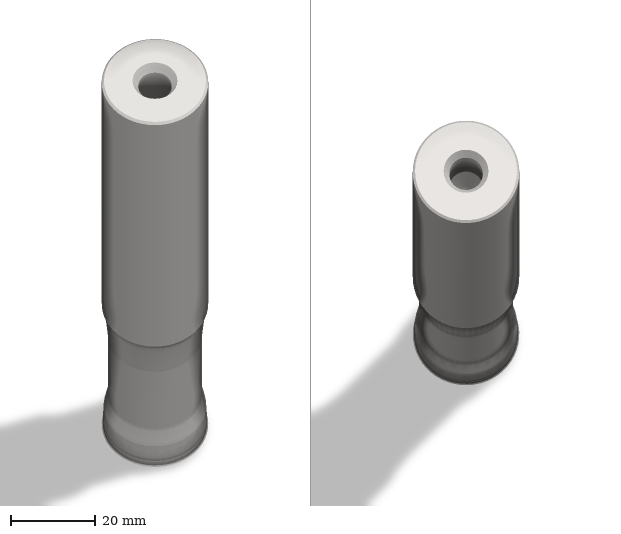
import cadquery as cq

LENGTH = 140.0
SHANK_RADIUS = 25.3 / 2
TOP_CHAMFER = 0.5

NECK_RADIUS = 22.4 / 2
SHANK_END_Z = 50.0
SHOULDER_Z = 48.7
SHOULDER_RADIUS = 24.4 / 2
NECK_TOP_Z = 38.0
NECK_BLEND_Z = 38.2
NECK_BLEND_RADIUS = NECK_RADIUS + 0.03
TAPER_HOLLOW = 0.08

NECK_BOTTOM_Z = 15.0
FLARE_TOP_Z = 14.1
FLARE_TOP_RADIUS = 22.5 / 2
FLARE_BOTTOM_Z = 10.0
FLARE_BOTTOM_RADIUS = 12.0
HEAD_TOP_Z = 9.1
HEAD_TOP_RADIUS = 24.4 / 2
HEAD_RADIUS = 24.8 / 2
HEAD_CHAMFER_Z = 4.3
JOINT_RADIUS = 12.3
JOINT_Z = 3.4

RIM_Z = 1.4
RIM_RADIUS = SHANK_RADIUS
RIM_STEP = 0.3
TIP_CHAMFER_Z = 3.0
TIP_FACE_RADIUS = 9.8

HOLE_RADIUS = 8.0 / 2
HOLE_DEPTH = 14.0
COUNTERSINK_RADIUS = 10.6 / 2
COUNTERSINK_DEPTH = 2.2
DRILL_POINT_DEPTH = 2.2


def revolve_profile(profile):
    """Close a radius/height outline and turn it about the Z axis."""
    return profile.close().revolve(360, (0, 0, 0), (0, 1, 0))


def taper_middle():
    """Middle of the slightly hollow taper between the shoulder and the neck."""
    radius = (SHOULDER_RADIUS + NECK_BLEND_RADIUS) / 2 - TAPER_HOLLOW
    height = (SHOULDER_Z + NECK_BLEND_Z) / 2
    return radius, height


def make_holder():
    """Shank, neck and flared head in one piece, with a countersunk blind hole on top."""
    hole_bottom_z = LENGTH - HOLE_DEPTH
    profile = (
        cq.Workplane("XZ")
        .moveTo(0, JOINT_Z)
        .lineTo(JOINT_RADIUS, JOINT_Z)
        .lineTo(HEAD_RADIUS, HEAD_CHAMFER_Z)
        .lineTo(HEAD_TOP_RADIUS, HEAD_TOP_Z)
        .lineTo(FLARE_BOTTOM_RADIUS, FLARE_BOTTOM_Z)
        .lineTo(FLARE_TOP_RADIUS, FLARE_TOP_Z)
        .lineTo(NECK_RADIUS, NECK_BOTTOM_Z)
        .lineTo(NECK_RADIUS, NECK_TOP_Z)
        .lineTo(NECK_BLEND_RADIUS, NECK_BLEND_Z)
        .threePointArc(taper_middle(), (SHOULDER_RADIUS, SHOULDER_Z))
        .lineTo(SHANK_RADIUS, SHANK_END_Z)
        .lineTo(SHANK_RADIUS, LENGTH - TOP_CHAMFER)
        .lineTo(SHANK_RADIUS - TOP_CHAMFER, LENGTH)
        .lineTo(COUNTERSINK_RADIUS, LENGTH)
        .lineTo(HOLE_RADIUS, LENGTH - COUNTERSINK_DEPTH)
        .lineTo(HOLE_RADIUS, hole_bottom_z)
        .lineTo(0, hole_bottom_z - DRILL_POINT_DEPTH)
    )
    return revolve_profile(profile)


def make_tip():
    """Round tip seated flat under the head, with a sharp rim and a rounded lower edge."""
    profile = (
        cq.Workplane("XZ")
        .lineTo(TIP_FACE_RADIUS, 0)
        .tangentArcPoint((RIM_RADIUS, RIM_Z), relative=False)
        .lineTo(HEAD_RADIUS, RIM_Z + RIM_STEP)
        .lineTo(HEAD_RADIUS, TIP_CHAMFER_Z)
        .lineTo(JOINT_RADIUS, JOINT_Z)
        .lineTo(0, JOINT_Z)
    )
    return revolve_profile(profile)


holder = make_holder()
tip = make_tip()

result = cq.Compound.makeCompound([holder.val(), tip.val()])